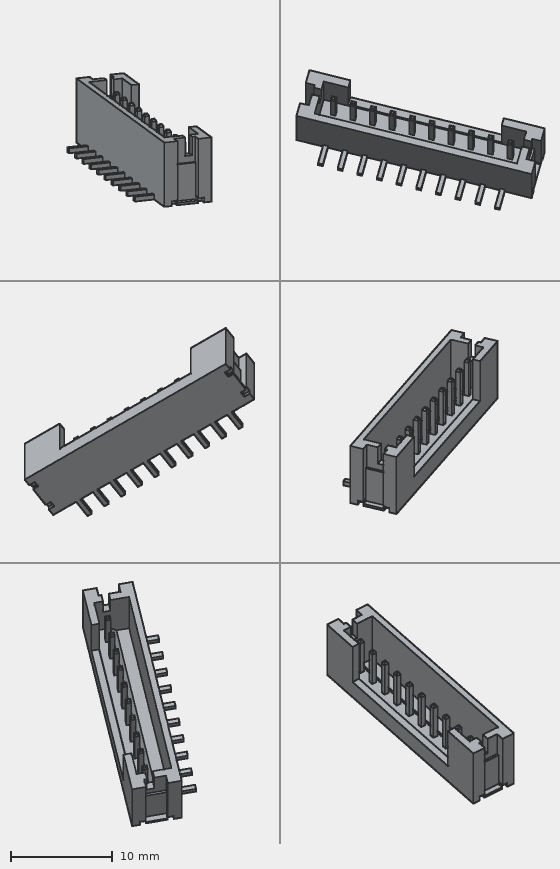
import cadquery as cq


length = 23.95
depth = 5.0
height = 6.6
front_wall = 0.7
back_wall = 0.8
end_wall = 1.675

front_floor_z = 1.0
ramp_foot_y = 1.97
ramp_size = 0.6
ramp_top_y = ramp_foot_y + ramp_size
pin_floor_z = front_floor_z + ramp_size

back_opening_inset = 4.175
back_opening_z = 2.0

channel_y_min = 1.4
channel_width = 2.2
channel_depth = 0.65
step_depth = 0.9
step_z = 4.0
slot_y_min = 2.57
slot_width = 0.75
slot_z = 4.7

tab_thickness = 0.25
tab_recess = 0.05
notch_y_min = 0.8
notch_width = 3.4
notch_height = 0.5

pin_count = 10
pin_pitch = 2.0
pin_size = 0.5
pin_y = 3.1
pin_top_z = 5.67
pin_tip_inset = 0.125
pin_tip_height = 0.22
tail_reach = 2.0

half_length = length / 2
inner_length = length - 2 * end_wall
inner_back_y = depth - back_wall


def box(x_min, y_min, z_min, size_x, size_y, size_z):
    """Box placed by its lowest corner."""
    return cq.Workplane("XY").box(size_x, size_y, size_z, centered=False).translate((x_min, y_min, z_min))


def cavity():
    """Inner space whose floor rises by a ramp from the front to the pins."""
    profile = [
        (front_wall, height),
        (front_wall, front_floor_z),
        (ramp_foot_y, front_floor_z),
        (ramp_top_y, pin_floor_z),
        (inner_back_y, pin_floor_z),
        (inner_back_y, height),
    ]
    section = cq.Workplane("YZ").polyline(profile).close()
    return section.extrude(inner_length).translate((-inner_length / 2, 0, 0))


def back_opening():
    """Wide window in the back wall, open at the top."""
    width = length - 2 * back_opening_inset
    return box(-width / 2, inner_back_y, back_opening_z, width, back_wall, height - back_opening_z)


def left_end_cuts():
    """Foot notch, stepped channel and slot of the -X end wall."""
    notch = box(-half_length, notch_y_min, 0, channel_depth, notch_width, notch_height)
    channel = box(-half_length, channel_y_min, 0, channel_depth, channel_width, height)
    step = box(-half_length, channel_y_min, step_z, step_depth, channel_width, height - step_z)
    slot = box(-half_length, slot_y_min, slot_z, end_wall, slot_width, height - slot_z)
    return notch.union(channel).union(step).union(slot)


def left_tab():
    """Solder tab on the floor of the -X end channel, seated in the end wall."""
    tab_length = end_wall - tab_recess
    return box(-half_length + tab_recess, channel_y_min, 0, tab_length, channel_width, tab_thickness)


def pin(x):
    """Right-angle pin: upright post with a tapered tip, and a tail out of the front."""
    left = x - pin_size / 2
    back_y = pin_y + pin_size / 2
    shoulder_z = pin_top_z - pin_tip_height
    post = box(left, back_y - pin_size, 0, pin_size, pin_size, shoulder_z)
    tip_size = pin_size - 2 * pin_tip_inset
    tip = (
        cq.Workplane("XY", origin=(x, pin_y, shoulder_z))
        .rect(pin_size, pin_size)
        .workplane(offset=pin_tip_height)
        .rect(tip_size, tip_size)
        .loft(ruled=True)
    )
    tail = box(left, -tail_reach, 0, pin_size, tail_reach + back_y, pin_size)
    return post.union(tip).union(tail)


result = box(-half_length, 0, 0, length, depth, height)
result = result.cut(cavity()).cut(back_opening())

end_cuts = left_end_cuts()
result = result.cut(end_cuts).cut(end_cuts.mirror("YZ"))

tab = left_tab()
result = result.union(tab).union(tab.mirror("YZ"))

for index in range(pin_count):
    pin_x = (index - (pin_count - 1) / 2) * pin_pitch
    result = result.union(pin(pin_x))